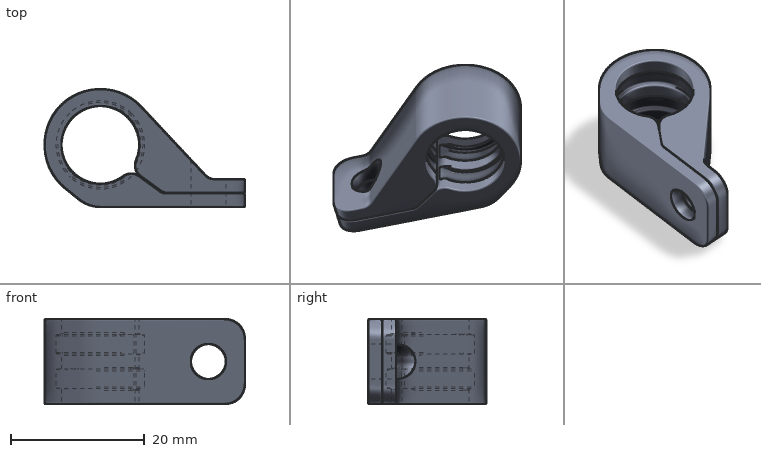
import cadquery as cq
import math

height = 12.7
ring_radius = 8.35
bore_radius = 5.79
end_x = 21.6
base_y = -9.29

tab_stack = 4.18
tab_top_y = base_y + tab_stack
tab_corner_radius = 3.0
screw_hole_diameter = 5.2
screw_x = 16.13

base_blend_radius = 5.0
tab_blend_radius = 2.0
tab_blend_x = 17.07

slit_gap = 0.09
slit_y = base_y + tab_stack / 2
slit_bend_x = 9.38
slit_angle = 36.0
slit_bend_radius = 1.6
lip_radius = 2.0

groove_radius = 6.6
groove_inner_z = 1.13
groove_width = 2.92
groove_blend = 0.25

edge_blend = 0.25


def polar(center, radius, angle):
    """Point at the given distance and angle (radians) from a centre."""
    return (center[0] + radius * math.cos(angle), center[1] + radius * math.sin(angle))


def make_body():
    """Ring with straight flanks running tangentially into the tabs."""
    origin = (0, 0)

    base_center = (0, base_y + base_blend_radius)
    base_tilt = math.acos((ring_radius - base_blend_radius) / abs(base_center[1]))
    base_normal = -math.pi / 2 - base_tilt

    tab_center = (tab_blend_x, tab_top_y + tab_blend_radius)
    center_distance = math.hypot(*tab_center)
    center_angle = math.atan2(tab_center[1], tab_center[0])
    flank_normal = center_angle + math.acos((ring_radius + tab_blend_radius) / center_distance)
    blend_start = flank_normal + math.pi
    blend_end = 3 * math.pi / 2

    return (
        cq.Workplane("XY")
        .workplane(offset=-height / 2)
        .moveTo(0, base_y)
        .lineTo(end_x, base_y)
        .lineTo(end_x, tab_top_y)
        .lineTo(tab_blend_x, tab_top_y)
        .threePointArc(
            polar(tab_center, tab_blend_radius, (blend_start + blend_end) / 2),
            polar(tab_center, tab_blend_radius, blend_start),
        )
        .lineTo(*polar(origin, ring_radius, flank_normal))
        .threePointArc((-ring_radius, 0), polar(origin, ring_radius, base_normal))
        .lineTo(*polar(base_center, base_blend_radius, base_normal))
        .threePointArc(
            polar(base_center, base_blend_radius, -math.pi / 2 - base_tilt / 2),
            (0, base_y),
        )
        .close()
        .extrude(height)
    )


def cut_bore_and_slit(body):
    """Open the bore and the bent slit, then round the slit bends and the lips at the bore."""
    angle = math.radians(slit_angle)
    slit_slope = math.tan(angle)
    bend_shift = slit_gap / 2 * math.tan(angle / 2)
    lower_bend_x = slit_bend_x - bend_shift
    upper_bend_x = slit_bend_x + bend_shift
    lower_y = slit_y - slit_gap / 2
    upper_y = slit_y + slit_gap / 2

    slit = (
        cq.Workplane("XY")
        .workplane(offset=-height / 2)
        .polyline(
            [
                (end_x, lower_y),
                (lower_bend_x, lower_y),
                (0, lower_y + lower_bend_x * slit_slope),
                (0, upper_y + upper_bend_x * slit_slope),
                (upper_bend_x, upper_y),
                (end_x, upper_y),
            ]
        )
        .close()
        .extrude(height)
    )
    bore = cq.Workplane("XY").circle(bore_radius).extrude(height / 2, both=True)
    body = body.cut(bore).cut(slit)

    bend_zone = cq.selectors.BoxSelector(
        (bore_radius, slit_y - slit_gap, -height),
        (upper_bend_x + slit_gap, slit_y + slit_gap, height),
    )
    lip_zone = cq.selectors.BoxSelector((0, -bore_radius, -height), (bore_radius, 0, height))
    body = body.edges("|Z").edges(bend_zone).fillet(slit_bend_radius)
    return body.edges("|Z").edges(lip_zone).fillet(lip_radius)


def round_edges(body):
    """Round the tab corners, then soften the rims of the top, bottom and tab end faces."""
    body = body.edges("|Y and >X").fillet(tab_corner_radius)
    return body.faces(">Z or <Z or >X").edges("not |Y").fillet(edge_blend)


def make_groove():
    """Ring-shaped cutter with rounded bottom corners and flared mouth edges."""
    outer_z = groove_inner_z + groove_width
    mouth_radius = bore_radius + groove_blend
    floor_start = groove_radius - groove_blend
    diagonal = groove_blend * (1 - math.sqrt(0.5))
    return (
        cq.Workplane("XZ")
        .moveTo(0, groove_inner_z - groove_blend)
        .lineTo(bore_radius, groove_inner_z - groove_blend)
        .threePointArc(
            (bore_radius + diagonal, groove_inner_z - diagonal),
            (mouth_radius, groove_inner_z),
        )
        .lineTo(floor_start, groove_inner_z)
        .threePointArc(
            (groove_radius - diagonal, groove_inner_z + diagonal),
            (groove_radius, groove_inner_z + groove_blend),
        )
        .lineTo(groove_radius, outer_z - groove_blend)
        .threePointArc(
            (groove_radius - diagonal, outer_z - diagonal),
            (floor_start, outer_z),
        )
        .lineTo(mouth_radius, outer_z)
        .threePointArc(
            (bore_radius + diagonal, outer_z + diagonal),
            (bore_radius, outer_z + groove_blend),
        )
        .lineTo(0, outer_z + groove_blend)
        .close()
        .revolve(360, (0, 0, 0), (0, 1, 0))
    )


def make_screw_hole():
    """Clearance hole along Y through both tabs and the sloping flank beside them."""
    return (
        cq.Workplane("XZ", origin=(screw_x, 0, 0))
        .circle(screw_hole_diameter / 2)
        .extrude(abs(base_y))
    )


body = make_body()
body = cut_bore_and_slit(body)
body = round_edges(body)
groove = make_groove()
result = body.cut(groove).cut(groove.mirror("XY")).cut(make_screw_hole())